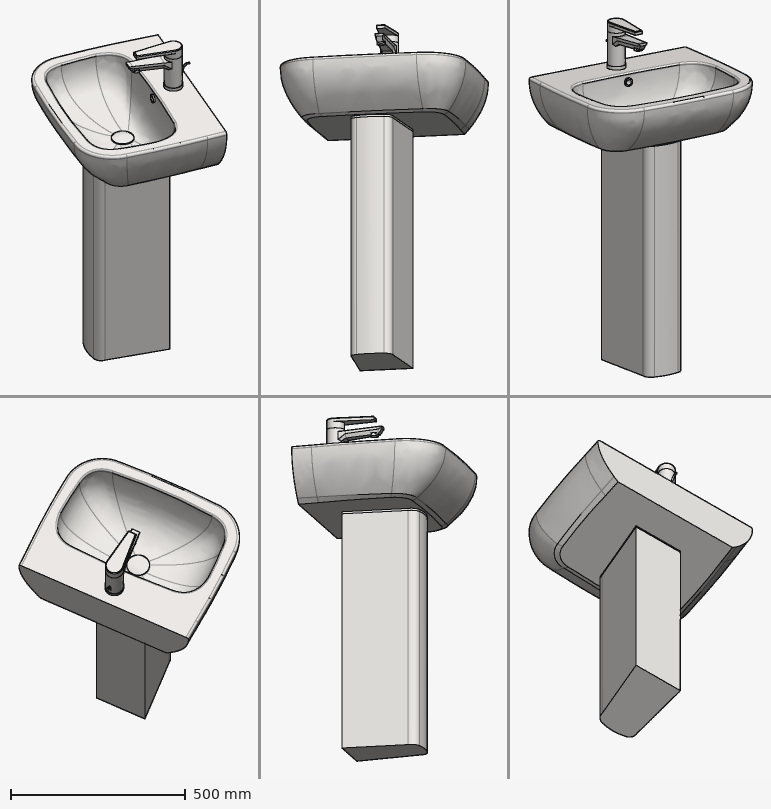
import cadquery as cq
import math

total_height = 995.0
rim_height = 855.0
fitting_x = -7.5

basin_half_width = 274.43
basin_back_half_width = 270.0
basin_depth = 429.45
basin_height = 155.0
basin_bottom = rim_height - basin_height
rim_band = 8.5
rim_round = 8.0
back_seam_y = -60.0
side_seam_y = -308.0
front_seam_x = 152.0
back_flare = 1.8
seam_flare = 1.0
front_bow = 4.5
side_taper = 56.0
front_taper = 86.0
seam_taper = 26.0
foot_chamfer_height = 4.0
foot_lift = 11.0
foot_pad = 6.0
foot_chamfer_width = 14.0
straight_tolerance = 1e-6
shell_steps = (0.0, 0.35, 0.7, 1.0)

bowl_back_y = -116.0
bowl_front_y = -390.5
bowl_back_corner = (165.0, -121.0)
bowl_side_back = (235.0, -203.0)
bowl_side_front = (228.0, -312.0)
bowl_front_corner = (158.0, -383.0)
bowl_side_bow = 1.5
bowl_depth = 142.5
bowl_lip = 7.0
bowl_squareness = 2.3
bowl_step_angles = (0, 15, 32, 50, 70, 90)
bowl_round = 5.0

drain_y = -211.0
drain_seam_angles = (48, 34, 20, -5, -29, -39, -49)
plug_stem_diameter = 44.0
plug_diameter = 65.0
plug_clearance = 1.5
drain_radius = plug_diameter / 2 + plug_clearance
plug_edge = 3.0
plug_dome = 5.0

overflow_z = 827.0
overflow_diameter = 25.0
overflow_bore = 16.0
overflow_front_y = -121.0
overflow_back_y = -100.0

pedestal_half_width = 77.5
pedestal_back_y = -96.0
pedestal_front_y = -322.0
pedestal_side_end = (61.0, -289.0)
pedestal_corner = (40.0, -317.0)

tap_y = -55.0
tap_ring_diameter = 55.0
tap_ring_height = 10.0
tap_diameter = 52.0
tap_body_top = 965.0
lever_bottom = 984.0
lever_tip_y = -173.0
lever_tip_width = 25.0
lever_bevel = 2.5
spout_sections = (
    (-62.0, 23.0, 954.0, 926.0, 917.0, 17.0),
    (-90.0, 20.0, 956.0, 947.0, 935.0, 15.0),
    (-185.0, 13.0, 963.0, 955.0, 942.0, 9.0),
    (-196.0, 12.5, 964.0, 960.0, 957.0, 9.0),
)
aerator_diameter = 24.0
aerator_y = -170.0
aerator_bottom = 937.0
aerator_top = 946.0
rod_diameter = 5.0
rod_tip = (-5.0, 922.0)
rod_bend_start = (-13.0, 922.0)
rod_bend_middle = (-22.0, 915.0)
rod_bend_end = (-26.0, 903.0)
rod_foot = (-33.0, 880.0)


def make_edge(start, middle, end):
    """Arc through three points, or a line where they are in a row."""
    if (middle - start).cross(end - middle).Length < straight_tolerance:
        return cq.Edge.makeLine(start, end)
    return cq.Edge.makeThreePointArc(start, middle, end)


def make_parabola(start, middle, end):
    """Parabola that passes through middle halfway along its parameter."""
    control = middle * 2 - (start + end) * 0.5
    return cq.Edge.makeBezier([start, control, end])


def parabola_loop(points):
    """Closed wire through a list of points that alternates seam points and curve middles."""
    vectors = [cq.Vector(*p) for p in points]
    vectors.append(vectors[0])
    return cq.Wire.assembleEdges([make_parabola(*vectors[i:i + 3]) for i in range(0, len(points), 2)])


def arc_middle(start, end):
    """Middle of the quarter ellipse that leaves start along y and reaches end along x."""
    k = math.sqrt(0.5)
    return (end[0] + (start[0] - end[0]) * k, start[1] + (end[1] - start[1]) * k)


def shell_outline(drop, z, extra=0.0, lift=0.0):
    """Outline of the basin; drop runs from 0 at the rim to 1 at the bottom, lift tilts it up at the wall."""
    inset = drop ** 2
    side = side_taper * inset + extra
    front_y = -basin_depth + front_taper * inset + extra
    back = (basin_back_half_width - side, 0.0)
    back_middle = (basin_back_half_width + back_flare / 2 - side, back_seam_y / 2)
    back_seam = (basin_back_half_width + back_flare - side, back_seam_y)
    middle = (basin_half_width - side, (back_seam_y + side_seam_y) / 2)
    seam = (basin_back_half_width + seam_flare - side, side_seam_y + seam_taper * inset + extra / 2)
    corner = (front_seam_x - extra / 2, front_y + front_bow)
    bend = arc_middle(seam, corner)
    half = [back, back_middle, back_seam, middle, seam, bend, corner]
    plan = half + [(0, front_y)] + [(-x, y) for x, y in reversed(half)]
    outline = [cq.Vector(x, y, z + lift * (1 + y / basin_depth)) for x, y in plan]
    edges = [make_edge(*outline[i:i + 3]) for i in range(0, len(outline) - 1, 2)]
    edges.append(cq.Edge.makeLine(outline[-1], outline[0]))
    return cq.Wire.assembleEdges(edges)


def make_shell():
    taper_top = rim_height - rim_band
    taper_bottom = basin_bottom + foot_chamfer_height
    rim = cq.Solid.extrudeLinear(shell_outline(0, taper_top), [], cq.Vector(0, 0, rim_band))
    rim = cq.Workplane(rim).faces(">Z").edges("not >Y").fillet(rim_round)
    wires = [shell_outline(s, taper_top + (taper_bottom - taper_top) * s, lift=foot_lift * s)
             for s in shell_steps]
    skirt = cq.Solid.makeLoft(wires)
    foot = cq.Solid.makeLoft(
        [wires[-1], shell_outline(1, basin_bottom, foot_chamfer_width)], True)
    return rim.union(cq.Workplane(skirt)).union(cq.Workplane(foot)).union(
        make_pedestal_block(basin_bottom - foot_pad, basin_bottom))


def bowl_points():
    """Opening of the bowl, alternating corners and curve middles, from the back right corner."""
    side_middle = (
        (bowl_side_back[0] + bowl_side_front[0]) / 2 + bowl_side_bow,
        (bowl_side_back[1] + bowl_side_front[1]) / 2,
    )
    half = [
        bowl_back_corner,
        arc_middle(bowl_side_back, bowl_back_corner),
        bowl_side_back,
        side_middle,
        bowl_side_front,
        arc_middle(bowl_side_front, bowl_front_corner),
        bowl_front_corner,
    ]
    mirrored = [(-x, y) for x, y in reversed(half)]
    return half + [(0, bowl_front_y)] + mirrored + [(0, bowl_back_y)]


def drain_points():
    """Points on the drain circle that match the bowl opening one for one."""
    right = list(drain_seam_angles)
    angles = right + [-90] + [180 - a for a in reversed(right)] + [90]
    return [
        (fitting_x + drain_radius * math.cos(math.radians(a)),
         drain_y + drain_radius * math.sin(math.radians(a)))
        for a in angles
    ]


def make_bowl_void():
    lip_bottom = rim_height - bowl_lip
    wires = []
    for angle in bowl_step_angles:
        step = 1 - abs(math.cos(math.radians(angle))) ** (2 / bowl_squareness)
        z = lip_bottom - (bowl_depth - bowl_lip) * math.sin(math.radians(angle)) ** (2 / bowl_squareness)
        points = [
            (a[0] + (b[0] - a[0]) * step, a[1] + (b[1] - a[1]) * step, z)
            for a, b in zip(bowl_points(), drain_points())
        ]
        wires.append(parabola_loop(points))
    return cq.Workplane(cq.Solid.makeLoft(wires))


def cylinder(diameter, y, bottom, top):
    plane = cq.Workplane("XY", origin=(fitting_x, y, bottom))
    return plane.circle(diameter / 2).extrude(top - bottom)


def make_overflow_blank(diameter):
    plane = cq.Workplane("XZ", origin=(fitting_x, overflow_back_y, overflow_z))
    return plane.circle(diameter / 2).extrude(overflow_back_y - overflow_front_y)


def cut_rounded_lip(shell):
    """Cuts the straight wall under the rim and rounds the edge of the opening."""
    outline = parabola_loop([(x, y, rim_height - bowl_lip) for x, y in bowl_points()])
    lip = cq.Solid.extrudeLinear(outline, [], cq.Vector(0, 0, bowl_lip))
    recess = shell.cut(cq.Workplane(lip))
    opening = recess.faces(">Z").val().innerWires()[0]
    return recess.newObject(opening.Edges()).fillet(bowl_round)


def make_basin():
    basin = cut_rounded_lip(make_shell()).cut(make_bowl_void())
    basin = basin.cut(cylinder(plug_stem_diameter, drain_y, basin_bottom - foot_pad, rim_height))
    return basin.cut(make_overflow_blank(overflow_diameter))


def make_plug():
    """Domed drain cover on a stem that fills the drain hole."""
    floor = rim_height - bowl_depth
    dome_radius = ((plug_diameter / 2) ** 2 + plug_dome ** 2) / (2 * plug_dome)
    top = floor + plug_edge + plug_dome
    half_chord = plug_diameter / 4
    half_top = top - dome_radius + math.sqrt(dome_radius ** 2 - half_chord ** 2)
    profile = (
        cq.Workplane("XZ", origin=(fitting_x, drain_y, 0))
        .moveTo(0, basin_bottom - foot_pad)
        .lineTo(plug_stem_diameter / 2, basin_bottom - foot_pad)
        .lineTo(plug_stem_diameter / 2, floor)
        .lineTo(plug_diameter / 2, floor)
        .lineTo(plug_diameter / 2, floor + plug_edge)
        .threePointArc((half_chord, half_top), (0, top))
        .close()
    )
    return profile.revolve(360, (0, 0, 0), (0, 1, 0))


def make_pedestal_block(bottom, top):
    """Column with sides that narrow towards a rounded front."""
    w = pedestal_half_width
    side = pedestal_side_end
    front = pedestal_corner
    bend = arc_middle(side, front)
    return (
        cq.Workplane("XY", origin=(fitting_x, 0, bottom))
        .moveTo(-w, pedestal_back_y)
        .lineTo(w, pedestal_back_y)
        .lineTo(*side)
        .threePointArc(bend, front)
        .threePointArc((0, pedestal_front_y), (-front[0], front[1]))
        .threePointArc((-bend[0], bend[1]), (-side[0], side[1]))
        .close()
        .extrude(top - bottom)
    )


def spout_section(y, half_width, top, middle, bottom, bottom_half_width):
    points = [
        (-half_width, top), (half_width, top), (half_width, middle),
        (bottom_half_width, bottom), (-bottom_half_width, bottom), (-half_width, middle),
    ]
    return cq.Wire.makePolygon([cq.Vector(fitting_x + px, y, pz) for px, pz in points], close=True)


def make_spout():
    sections = [spout_section(*values) for values in spout_sections]
    return cq.Workplane(cq.Solid.makeLoft(sections, True))


def make_rod():
    """Lift rod that rises out of the back of the tap body and bends towards the wall."""
    path = (
        cq.Workplane("YZ", origin=(fitting_x, 0, 0))
        .moveTo(*rod_tip)
        .lineTo(*rod_bend_start)
        .threePointArc(rod_bend_middle, rod_bend_end)
        .lineTo(*rod_foot)
    )
    start = cq.Workplane("XZ", origin=(fitting_x, *rod_tip))
    return start.circle(rod_diameter / 2).sweep(path)


def make_lever():
    """Round cap that runs out into a flat tapering lever."""
    radius = tap_diameter / 2
    cap = cylinder(tap_diameter, tap_y, tap_body_top, lever_bottom)
    reach = tap_y - lever_tip_y
    tip = lever_tip_width / 2
    slope = math.atan2(radius - tip, reach)
    touch = (radius * math.cos(slope), -radius * math.sin(slope))
    plate = (
        cq.Workplane("XY", origin=(fitting_x, tap_y, lever_bottom))
        .moveTo(-tip, -reach)
        .lineTo(tip, -reach)
        .lineTo(*touch)
        .threePointArc((0, radius), (-touch[0], touch[1]))
        .close()
        .extrude(total_height - lever_bottom)
        .faces(">Z").edges().chamfer(lever_bevel)
    )
    return cap.union(plate)


basin = make_basin()
plug = make_plug()
overflow = make_overflow_blank(overflow_diameter).cut(make_overflow_blank(overflow_bore))
pedestal = make_pedestal_block(0, basin_bottom - foot_pad)
tap_ring = cylinder(tap_ring_diameter, tap_y, rim_height, rim_height + tap_ring_height)
rod = make_rod()
aerator = cylinder(aerator_diameter, aerator_y, aerator_bottom, aerator_top)
tap_body = cylinder(tap_diameter, tap_y, rim_height + tap_ring_height, tap_body_top)
tap_body = tap_body.union(make_spout()).cut(rod).cut(aerator)
lever = make_lever()

result = cq.Compound.makeCompound([
    basin.val(), pedestal.val(), plug.val(), overflow.val(),
    tap_ring.val(), tap_body.val(), lever.val(), rod.val(), aerator.val(),
])